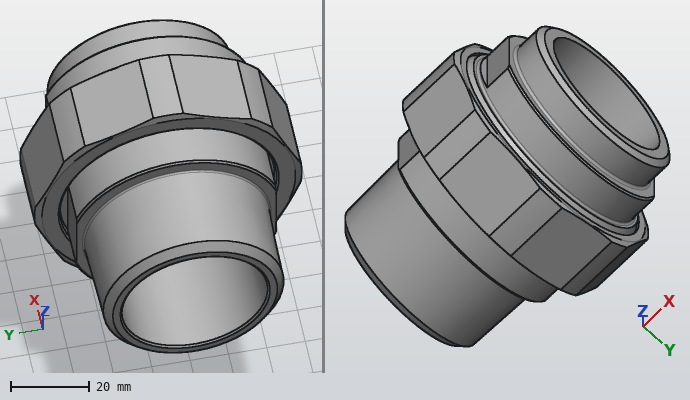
import cadquery as cq
import math

TOTAL_LENGTH = 73.5
BORE_RADIUS = 38.0 / 2
BORE_CHAMFER = 0.5
EDGE_CHAMFER = 0.5

COLLAR_RADIUS = 27.9
FLAT_OFFSET = 25.95
FLAT_REACH = 44.1
MALE_COLLAR_START = 24.0
MALE_FLAT_STOP = 36.0
END_COLLAR_STOP = 64.45

TAPER_TIP_RADIUS = 23.5
TAPER_BASE_RADIUS = 48.3 / 2
MALE_CHAMFER_LENGTH = 2.1
MALE_FACE_RADIUS = 21.45
MALE_FILLET = 0.45

SPIGOT_RADIUS = 23.95
SPIGOT_CHAMFER_LENGTH = 1.3
SPIGOT_FACE_RADIUS = 22.2
SPIGOT_FILLET = 0.7

NUT_START = 34.0
NUT_WIDTH = 19.85
NUT_STOP = NUT_START + NUT_WIDTH
NUT_RADIUS = 69.7 / 2
NUT_ACROSS_FLATS = 66.95
NUT_SIDES = 8
NUT_FACE_RADIUS = 33.1
NUT_CHAMFER_LENGTH = 0.6
NUT_MOUTH_RADIUS = 56.5 / 2
THREAD_RADIUS = 61.8 / 2

SHOULDER_X = 38.95
JOINT_X = 41.9
FLANGE_RADIUS = 60.35 / 2

THREAD_STOP = 55.0
THREAD_CHAMFER_START = 53.0
THREAD_FACE_RADIUS = 29.5
THREAD_FILLET = 0.65
FLAT_WALL_TOP_X = 55.9
FLAT_WALL_FOOT_X = 56.4


def revolve_about_x(profile):
    """Revolve a closed (x, radius) profile about the X axis."""
    return profile.close().revolve(360, (0, 0, 0), (1, 0, 0))


def cut_flats(body, start_top_x, start_foot_x, stop_x):
    """Cut opposite flats on +Y and -Y between two X positions."""
    wall_slope = (start_top_x - start_foot_x) / (COLLAR_RADIUS - FLAT_OFFSET)
    start_outer_x = start_foot_x + wall_slope * (FLAT_REACH - FLAT_OFFSET)
    for side in (1, -1):
        cutter = (
            cq.Workplane("XY")
            .polyline([
                (start_foot_x, side * FLAT_OFFSET),
                (stop_x, side * FLAT_OFFSET),
                (stop_x, side * FLAT_REACH),
                (start_outer_x, side * FLAT_REACH),
            ])
            .close()
            .extrude(FLAT_REACH, both=True)
        )
        body = body.cut(cutter)
    return body


def fillet_point(corner_x, corner_radius, size, direction):
    """Middle of a concave fillet on the given side (+1 or -1) of a shoulder."""
    inset = size * (1 - math.sqrt(0.5))
    return corner_x + direction * inset, corner_radius + inset


def make_male_end():
    """Tapered male connection, flatted collar and retaining flange."""
    profile = (
        cq.Workplane("XY")
        .moveTo(0, BORE_RADIUS + BORE_CHAMFER)
        .lineTo(0, MALE_FACE_RADIUS)
        .lineTo(MALE_CHAMFER_LENGTH, TAPER_TIP_RADIUS)
        .lineTo(MALE_COLLAR_START - MALE_FILLET, TAPER_BASE_RADIUS)
        .threePointArc(
            fillet_point(MALE_COLLAR_START, TAPER_BASE_RADIUS, MALE_FILLET, -1),
            (MALE_COLLAR_START, TAPER_BASE_RADIUS + MALE_FILLET),
        )
        .lineTo(MALE_COLLAR_START, COLLAR_RADIUS - EDGE_CHAMFER)
        .lineTo(MALE_COLLAR_START + EDGE_CHAMFER, COLLAR_RADIUS)
        .lineTo(SHOULDER_X, COLLAR_RADIUS)
        .lineTo(SHOULDER_X, FLANGE_RADIUS)
        .lineTo(JOINT_X, FLANGE_RADIUS)
        .lineTo(JOINT_X, BORE_RADIUS)
        .lineTo(BORE_CHAMFER, BORE_RADIUS)
    )
    return cut_flats(revolve_about_x(profile), MALE_COLLAR_START, MALE_COLLAR_START, MALE_FLAT_STOP)


def make_threaded_end():
    """External thread envelope, flatted collar and plain spigot."""
    profile = (
        cq.Workplane("XY")
        .moveTo(JOINT_X, BORE_RADIUS)
        .lineTo(JOINT_X, THREAD_RADIUS)
        .lineTo(THREAD_CHAMFER_START, THREAD_RADIUS)
        .lineTo(THREAD_STOP, THREAD_FACE_RADIUS)
        .lineTo(THREAD_STOP, COLLAR_RADIUS + THREAD_FILLET)
        .threePointArc(
            fillet_point(THREAD_STOP, COLLAR_RADIUS, THREAD_FILLET, 1),
            (THREAD_STOP + THREAD_FILLET, COLLAR_RADIUS),
        )
        .lineTo(END_COLLAR_STOP - EDGE_CHAMFER, COLLAR_RADIUS)
        .lineTo(END_COLLAR_STOP, COLLAR_RADIUS - EDGE_CHAMFER)
        .lineTo(END_COLLAR_STOP, SPIGOT_RADIUS + SPIGOT_FILLET)
        .threePointArc(
            fillet_point(END_COLLAR_STOP, SPIGOT_RADIUS, SPIGOT_FILLET, 1),
            (END_COLLAR_STOP + SPIGOT_FILLET, SPIGOT_RADIUS),
        )
        .lineTo(TOTAL_LENGTH - SPIGOT_CHAMFER_LENGTH, SPIGOT_RADIUS)
        .lineTo(TOTAL_LENGTH, SPIGOT_FACE_RADIUS)
        .lineTo(TOTAL_LENGTH, BORE_RADIUS)
    )
    return cut_flats(revolve_about_x(profile), FLAT_WALL_TOP_X, FLAT_WALL_FOOT_X, END_COLLAR_STOP)


def make_nut():
    """Octagonal nut with rounded corners and an inner lip."""
    profile = (
        cq.Workplane("XY")
        .moveTo(NUT_START, NUT_MOUTH_RADIUS + EDGE_CHAMFER)
        .lineTo(NUT_START, NUT_FACE_RADIUS)
        .lineTo(NUT_START + NUT_CHAMFER_LENGTH, NUT_RADIUS)
        .lineTo(NUT_STOP - NUT_CHAMFER_LENGTH, NUT_RADIUS)
        .lineTo(NUT_STOP, NUT_FACE_RADIUS)
        .lineTo(NUT_STOP, THREAD_RADIUS)
        .lineTo(SHOULDER_X, THREAD_RADIUS)
        .lineTo(SHOULDER_X, NUT_MOUTH_RADIUS)
        .lineTo(NUT_START + EDGE_CHAMFER, NUT_MOUTH_RADIUS)
    )
    corner_diameter = NUT_ACROSS_FLATS / math.cos(math.pi / NUT_SIDES)
    octagon = (
        cq.Workplane("YZ")
        .workplane(offset=NUT_START)
        .polygon(NUT_SIDES, corner_diameter)
        .extrude(NUT_WIDTH)
    )
    return revolve_about_x(profile).intersect(octagon)


male_end = make_male_end()
threaded_end = make_threaded_end()
nut = make_nut()

result = cq.Compound.makeCompound([male_end.solids().val(), threaded_end.solids().val(), nut.solids().val()])